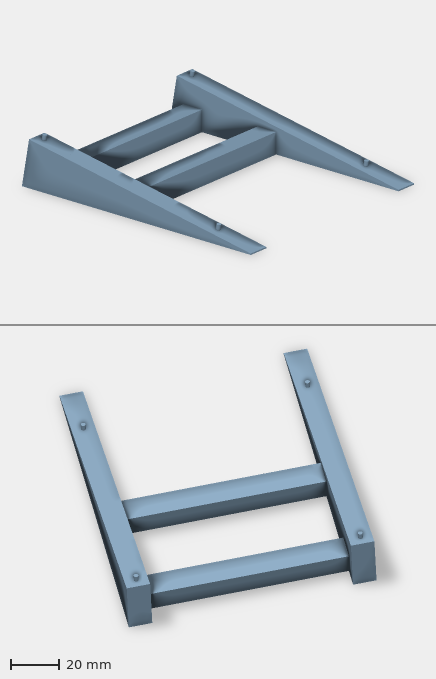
import cadquery as cq
import math

length = 123.3
width = 105.3
slope_angle = 10.0
slope = math.tan(math.radians(slope_angle))

rail_width = 10.0
rail_height = 21.7
back_top_x = rail_height * slope
toe_height = rail_height - (length - back_top_x) * slope

bar_size = 10.0
bar_starts = (7.4, 47.3)

pin_diameter = 2.0
pin_length = 2.5
pin_distances = (4.0, 99.1)
pin_embed = 0.6

rail_centers = (rail_width / 2, width - rail_width / 2)


def make_rail(center_y):
    outline = [(0, 0), (length, 0), (length, toe_height), (back_top_x, rail_height)]
    return (
        cq.Workplane("XZ", origin=(0, center_y + rail_width / 2, 0))
        .polyline(outline)
        .close()
        .extrude(rail_width)
    )


def make_crossbar(start_x):
    span = rail_centers[1] - rail_centers[0]
    return cq.Workplane("XY").box(bar_size, span, bar_size, centered=False).translate(
        (start_x, rail_centers[0], 0)
    )


def make_pins(center_y):
    top_plane = cq.Plane(
        origin=(back_top_x, center_y, rail_height),
        xDir=(1, 0, -slope),
        normal=(slope, 0, 1),
    )
    return (
        cq.Workplane(top_plane)
        .workplane(offset=-pin_embed)
        .pushPoints([(distance, 0) for distance in pin_distances])
        .circle(pin_diameter / 2)
        .extrude(pin_embed + pin_length)
    )


result = make_rail(rail_centers[0]).union(make_rail(rail_centers[1]))
for start_x in bar_starts:
    result = result.union(make_crossbar(start_x))
for center_y in rail_centers:
    result = result.union(make_pins(center_y))